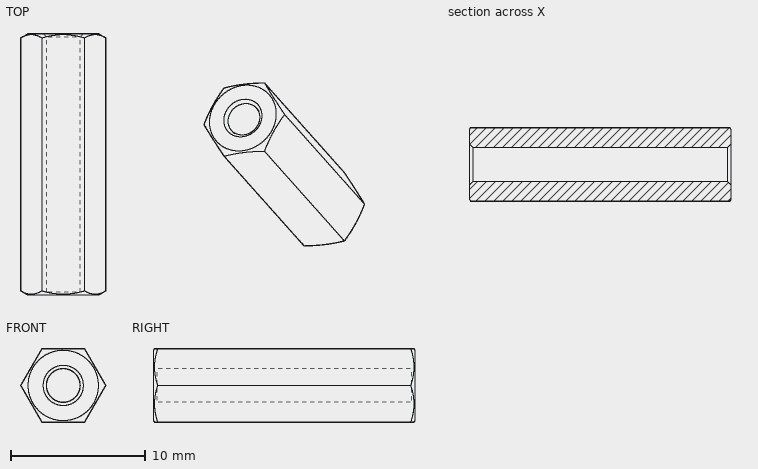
import cadquery as cq
import math

length = 19.5
across_flats = 5.5
end_face_diameter = 5.25
corner_chamfer_angle = 30
bore_diameter = 2.5
countersink_diameter = 3.0
countersink_angle = 45

side_count = 6
across_corners = across_flats / math.cos(math.pi / side_count)


def hexagonal_bar():
    """Hexagonal prism with corners on the X axis and flats facing +Z and -Z."""
    return cq.Workplane("XZ").polygon(side_count, across_corners).extrude(length / 2, both=True)


def turned_body(middle_diameter, end_diameter, cone_angle):
    """Full-length cylinder about Y whose ends taper or flare to end_diameter."""
    half_length = length / 2
    middle_radius = middle_diameter / 2
    end_radius = end_diameter / 2
    cone_depth = abs(middle_radius - end_radius) * math.tan(math.radians(cone_angle))
    cone_start = half_length - cone_depth
    profile = (
        cq.Workplane("XY")
        .moveTo(0, -half_length)
        .lineTo(end_radius, -half_length)
        .lineTo(middle_radius, -cone_start)
        .lineTo(middle_radius, cone_start)
        .lineTo(end_radius, half_length)
        .lineTo(0, half_length)
        .close()
    )
    return profile.revolve(360, (0, 0, 0), (0, 1, 0))


chamfered_envelope = turned_body(across_corners, end_face_diameter, corner_chamfer_angle)

countersunk_bore = turned_body(bore_diameter, countersink_diameter, countersink_angle)

result = hexagonal_bar().intersect(chamfered_envelope).cut(countersunk_bore)